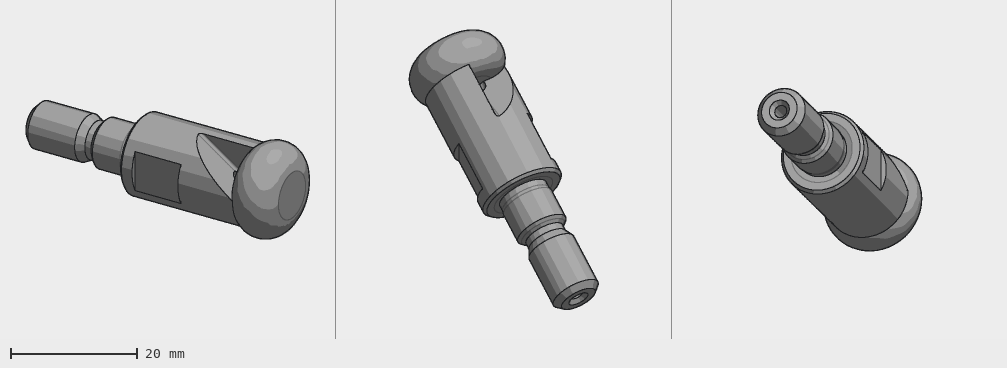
import cadquery as cq
import math

total_length = 48
ring_radius = 12 / 3
head_radius = 2 * ring_radius
head_center_x = total_length - ring_radius
body_radius = 6.9
body_start_x = 19.95
body_chamfer = 0.5

tip_radius = 4.0
tip_chamfer = 1.0
tip_end_x = 9.8
neck_radius = 3.25
neck_start_x = 11.25
neck_end_x = 12.4
collar_radius = 4.25
collar_step_radius = 3.8
collar_step_x = 12.8
collar_start_x = 13.3
collar_end_x = 18.42
relief_radius = 4.15
relief_start_x = 19.05
face_relief_radius = 5.15
face_relief_depth = 0.15

flat_start_x = 22.4
flat_end_x = 31.0
flat_half_width = 6.0

wall_y = -0.7
pocket_fillet = 0.5
floor_angle = 34.0
floor_foot_x = 41.25

bore_radius = 1.0
countersink_radius = 1.7
countersink_depth = 0.65
bend_x = 28.8
outlet = (39.35, -1.65, 1.3)
outlet_overrun = 1.2


def make_turned_body():
    profile = (
        cq.Workplane("XY")
        .moveTo(0, 0)
        .lineTo(0, tip_radius - tip_chamfer)
        .lineTo(tip_chamfer, tip_radius)
        .lineTo(tip_end_x, tip_radius)
        .lineTo(neck_start_x, neck_radius)
        .lineTo(neck_end_x, neck_radius)
        .lineTo(collar_step_x, collar_step_radius)
        .lineTo(collar_start_x, collar_radius)
        .lineTo(collar_end_x, collar_radius)
        .lineTo(relief_start_x, relief_radius)
        .lineTo(body_start_x + face_relief_depth, relief_radius)
        .lineTo(body_start_x, face_relief_radius)
        .lineTo(body_start_x, body_radius - body_chamfer)
        .lineTo(body_start_x + body_chamfer, body_radius)
        .lineTo(head_center_x, body_radius)
        .lineTo(head_center_x, 0)
        .close()
    )
    return profile.revolve(360, (0, 0, 0), (1, 0, 0))


def make_head():
    """Disc with a fully rounded rim, solid through the middle."""
    front_x = head_center_x - ring_radius
    profile = (
        cq.Workplane("XY")
        .moveTo(front_x, 0)
        .lineTo(front_x, ring_radius)
        .threePointArc((head_center_x, head_radius), (total_length, ring_radius))
        .lineTo(total_length, 0)
        .close()
    )
    return profile.revolve(360, (0, 0, 0), (1, 0, 0))


def make_flat_cutters():
    flat_length = flat_end_x - flat_start_x
    cutters = cq.Workplane("XY")
    for side in (-1, 1):
        center = ((flat_start_x + flat_end_x) / 2, side * (flat_half_width + body_radius / 2), 0)
        cutters = cutters.add(
            cq.Workplane("XY").box(flat_length, body_radius, 2 * body_radius).translate(center)
        )
    return cutters.combine()


def make_pocket_cutter():
    """Wedge above the sloping floor, with the floor-to-wall corner rounded."""
    top_z = head_radius
    top_x = floor_foot_x - top_z / math.tan(math.radians(floor_angle))
    foot_z = (floor_foot_x - head_center_x) * math.tan(math.radians(floor_angle))
    wedge = (
        cq.Workplane("XZ", origin=(0, wall_y, 0))
        .polyline([(top_x, top_z), (head_center_x, foot_z), (head_center_x, top_z)])
        .close()
        .extrude(head_radius)
    )
    floor_middle = ((top_x + head_center_x) / 2, wall_y, (top_z + foot_z) / 2)
    return wedge.edges(cq.selectors.NearestToPointSelector(floor_middle)).fillet(pocket_fillet)


def make_passage_cutter():
    bore = cq.Solid.makeCylinder(bore_radius, bend_x, cq.Vector(0, 0, 0), cq.Vector(1, 0, 0))
    countersink = cq.Solid.makeCone(
        countersink_radius, bore_radius, countersink_depth, cq.Vector(0, 0, 0), cq.Vector(1, 0, 0)
    )
    bend = cq.Vector(bend_x, 0, 0)
    oblique = cq.Vector(*outlet) - bend
    oblique_bore = cq.Solid.makeCylinder(
        bore_radius, oblique.Length * outlet_overrun, bend, oblique
    )
    return cq.Workplane(bore).union(cq.Workplane(countersink)).union(cq.Workplane(oblique_bore))


result = (
    make_turned_body()
    .cut(make_flat_cutters())
    .cut(make_pocket_cutter())
    .cut(make_passage_cutter())
    .union(make_head())
)